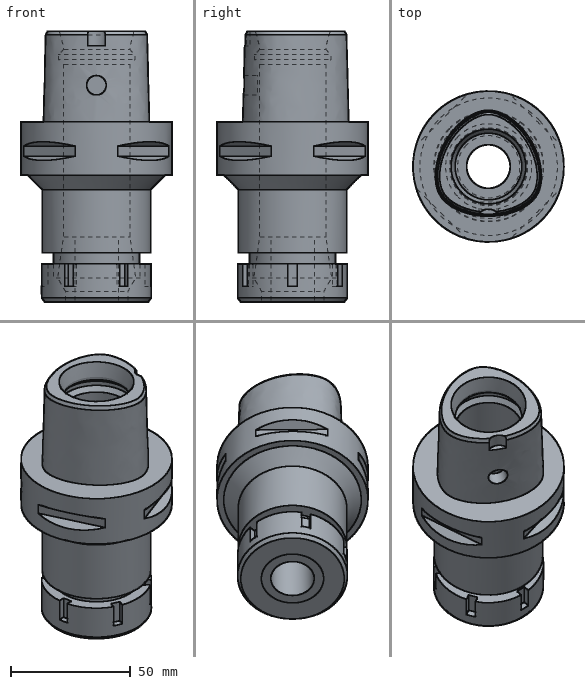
import cadquery as cq
import math

TOTAL_HEIGHT = 113.0
SHANK_LENGTH = 37.9
FLANGE_TOP = TOTAL_HEIGHT - SHANK_LENGTH
FLANGE_BOTTOM = 52.9
FLANGE_CONE_BOTTOM = 46.9
BARREL_BOTTOM = 20.5
NUT_HEIGHT = 15.9
NECK_BOTTOM = 10.2

FLANGE_RADIUS = 31.5
BARREL_RADIUS = 22.7
FLANGE_CONE_RADIUS = BARREL_RADIUS + FLANGE_BOTTOM - FLANGE_CONE_BOTTOM
NECK_RADIUS = 18.0
NUT_RADIUS = 22.9

SHANK_BASE_RADIUS = 22.1
LOBE_HEIGHT = 1.4
TAPER_PER_UNIT = 1 / 40
TIP_CHAMFER_HEIGHT = 1.6
TIP_CHAMFER_DEPTH = 0.9

BORE_RADIUS = 13.9
BORE_MOUTH_RADIUS = 15.6
BORE_MOUTH_DEPTH = 6.3
GROOVE_RADIUS = 15.9
GROOVE_START_DEPTH = 7.7
GROOVE_END_DEPTH = 13.8
GROOVE_SIDE = GROOVE_RADIUS - BORE_RADIUS

NOTCH_WIDTH = 7.2
NOTCH_DEPTH = 6.2
NOTCH_FLOOR_Y = -17.7
NOTCH_ARC_RADIUS = 5.1
POCKET_DIAMETER = 8.1
POCKET_HEIGHT = 90.4
POCKET_FLOOR_Y = -14.7

GRIP_COUNT = 4
GRIP_FIRST_ANGLE = 45
GRIP_FLOOR_DISTANCE = 27.7
GRIP_HEIGHT = 62.9
GRIP_FLOOR_WIDTH = 4.2
GRIP_MOUTH_WIDTH = 7.8

NUT_CHAMFER_HEIGHT = 1.7
NUT_CHAMFER_DEPTH = 1.4
NUT_SLOT_COUNT = 6
NUT_SLOT_WIDTH = 4.0
NUT_SLOT_BOTTOM = 6.5
NUT_SLOT_FLOOR_RADIUS = 20.2

COLLET_TOP = 27.1
COLLET_RADIUS = 16.3
COLLET_FACE_RADIUS = 13.0
COLLET_HOLE_RADIUS = 9.0
COLLET_FRONT_ANGLE = 30
COLLET_FRONT_LENGTH = (COLLET_RADIUS - COLLET_FACE_RADIUS) / math.tan(math.radians(COLLET_FRONT_ANGLE))
COLLET_SHOULDER = NECK_BOTTOM - COLLET_FRONT_LENGTH


def revolve_profile(points):
    """Revolve a closed (radius, height) outline about the Z axis."""
    return cq.Workplane("XZ").polyline(points).close().revolve(360, (0, 0, 0), (0, 1, 0))


def lobed_wire(mean_radius, height):
    """Three-lobed outline of constant width, with one lobe pointing to +Y."""
    def outline_point(t):
        lobe = LOBE_HEIGHT * math.cos(3 * t)
        lobe_slope = -3 * LOBE_HEIGHT * math.sin(3 * t)
        along = mean_radius + lobe
        x = -along * math.sin(t) - lobe_slope * math.cos(t)
        y = along * math.cos(t) - lobe_slope * math.sin(t)
        return x, y

    point_count = 48
    points = [outline_point(math.pi + 2 * math.pi * i / point_count) for i in range(point_count)]
    edge = cq.Edge.makeSpline([cq.Vector(x, y, height) for x, y in points], periodic=True)
    return cq.Wire.assembleEdges([edge])


def make_shank():
    """Tapered polygon shank with a chamfered tip."""
    chamfer_bottom = TOTAL_HEIGHT - TIP_CHAMFER_HEIGHT
    upper_radius = SHANK_BASE_RADIUS - TAPER_PER_UNIT * (chamfer_bottom - FLANGE_TOP)
    base = lobed_wire(SHANK_BASE_RADIUS, FLANGE_TOP)
    upper = lobed_wire(upper_radius, chamfer_bottom)
    tip = lobed_wire(upper_radius - TIP_CHAMFER_DEPTH, TOTAL_HEIGHT)
    taper = cq.Solid.makeLoft([base, upper], True)
    chamfer = cq.Solid.makeLoft([upper, tip], True)
    return cq.Workplane(taper).union(cq.Workplane(chamfer))


def make_clamping_bore():
    """Cutter for the bore with its conical mouth and clamping groove, down to the collet."""
    return revolve_profile([
        (0, COLLET_TOP),
        (BORE_RADIUS, COLLET_TOP),
        (BORE_RADIUS, TOTAL_HEIGHT - GROOVE_END_DEPTH),
        (GROOVE_RADIUS, TOTAL_HEIGHT - GROOVE_END_DEPTH + GROOVE_SIDE),
        (GROOVE_RADIUS, TOTAL_HEIGHT - GROOVE_START_DEPTH - GROOVE_SIDE),
        (BORE_RADIUS, TOTAL_HEIGHT - GROOVE_START_DEPTH),
        (BORE_RADIUS, TOTAL_HEIGHT - BORE_MOUTH_DEPTH),
        (BORE_MOUTH_RADIUS, TOTAL_HEIGHT),
        (0, TOTAL_HEIGHT),
    ])


def make_key_notch():
    """Cutter for the notch with a round back wall at the shank tip."""
    half_width = NOTCH_WIDTH / 2
    arc_rise = NOTCH_ARC_RADIUS - math.sqrt(NOTCH_ARC_RADIUS**2 - half_width**2)
    corner_y = NOTCH_FLOOR_Y - arc_rise
    return (
        cq.Workplane("XY", origin=(0, 0, TOTAL_HEIGHT - NOTCH_DEPTH))
        .moveTo(-half_width, -SHANK_BASE_RADIUS)
        .lineTo(-half_width, corner_y)
        .threePointArc((0, NOTCH_FLOOR_Y), (half_width, corner_y))
        .lineTo(half_width, -SHANK_BASE_RADIUS)
        .close()
        .extrude(NOTCH_DEPTH)
    )


def make_round_pocket():
    """Cutter for the blind, flat-bottomed hole on the -Y side of the shank."""
    return (
        cq.Workplane("XZ", origin=(0, POCKET_FLOOR_Y, POCKET_HEIGHT))
        .circle(POCKET_DIAMETER / 2)
        .extrude(SHANK_BASE_RADIUS + POCKET_FLOOR_Y)
    )


def make_grip_groove(angle):
    """Cutter for a straight groove with sloping flanks across the flange rim."""
    half_floor = GRIP_FLOOR_WIDTH / 2
    half_mouth = GRIP_MOUTH_WIDTH / 2
    return (
        cq.Workplane("XZ")
        .polyline([
            (GRIP_FLOOR_DISTANCE, GRIP_HEIGHT - half_floor),
            (FLANGE_RADIUS, GRIP_HEIGHT - half_mouth),
            (FLANGE_RADIUS, GRIP_HEIGHT + half_mouth),
            (GRIP_FLOOR_DISTANCE, GRIP_HEIGHT + half_floor),
        ])
        .close()
        .extrude(FLANGE_RADIUS, both=True)
        .rotate((0, 0, 0), (0, 0, 1), angle)
    )


def make_collet_blank():
    """Solid double cone of the collet, without its through hole."""
    return revolve_profile([
        (0, 0),
        (COLLET_FACE_RADIUS, 0),
        (COLLET_FACE_RADIUS, COLLET_SHOULDER),
        (COLLET_RADIUS, NECK_BOTTOM),
        (BORE_RADIUS, COLLET_TOP),
        (0, COLLET_TOP),
    ])


def make_housing():
    """Shank, flange, barrel and neck, with the bore and the collet seat."""
    body = revolve_profile([
        (0, NECK_BOTTOM),
        (NECK_RADIUS, NECK_BOTTOM),
        (NECK_RADIUS, BARREL_BOTTOM),
        (BARREL_RADIUS, BARREL_BOTTOM),
        (BARREL_RADIUS, FLANGE_CONE_BOTTOM),
        (FLANGE_CONE_RADIUS, FLANGE_BOTTOM),
        (FLANGE_RADIUS, FLANGE_BOTTOM),
        (FLANGE_RADIUS, FLANGE_TOP),
        (0, FLANGE_TOP),
    ])
    body = body.union(make_shank())
    body = body.cut(make_clamping_bore()).cut(make_collet_blank())
    body = body.cut(make_key_notch()).cut(make_round_pocket())
    for i in range(GRIP_COUNT):
        body = body.cut(make_grip_groove(GRIP_FIRST_ANGLE + i * 360 / GRIP_COUNT))
    return body


def make_nut():
    """Clamping nut around the neck, with wrench slots open at its upper end."""
    nut = revolve_profile([
        (COLLET_FACE_RADIUS, 0),
        (NUT_RADIUS - NUT_CHAMFER_DEPTH, 0),
        (NUT_RADIUS, NUT_CHAMFER_HEIGHT),
        (NUT_RADIUS, NUT_HEIGHT),
        (NECK_RADIUS, NUT_HEIGHT),
        (NECK_RADIUS, NECK_BOTTOM),
        (COLLET_RADIUS, NECK_BOTTOM),
        (COLLET_FACE_RADIUS, COLLET_SHOULDER),
    ])
    slot_length = NUT_RADIUS - NUT_SLOT_FLOOR_RADIUS
    slot_height = NUT_HEIGHT - NUT_SLOT_BOTTOM
    slot = cq.Workplane("XY", origin=(NUT_SLOT_FLOOR_RADIUS, 0, NUT_SLOT_BOTTOM)).box(
        slot_length, NUT_SLOT_WIDTH, slot_height, centered=(False, True, False)
    )
    for i in range(NUT_SLOT_COUNT):
        nut = nut.cut(slot.rotate((0, 0, 0), (0, 0, 1), i * 360 / NUT_SLOT_COUNT))
    return nut


def make_collet():
    """Collet held between the housing seat and the nut, with a plain through hole."""
    return make_collet_blank().cut(cq.Workplane("XY").circle(COLLET_HOLE_RADIUS).extrude(COLLET_TOP))


housing = make_housing()
nut = make_nut()
collet = make_collet()

result = cq.Compound.makeCompound([housing.val(), nut.val(), collet.val()])